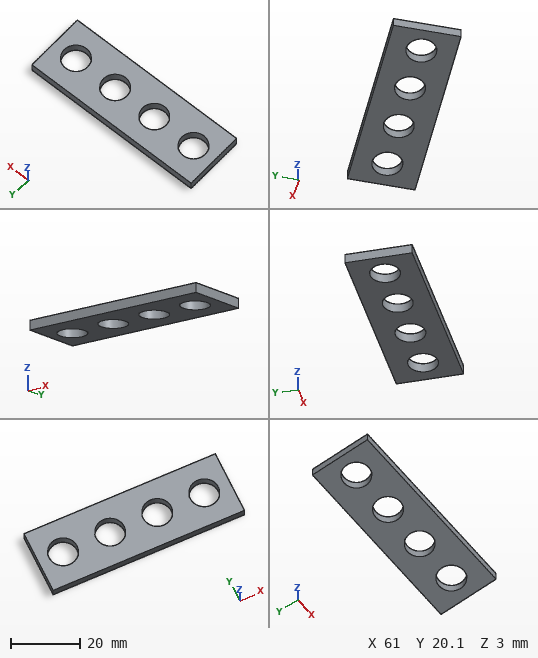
import cadquery as cq

length = 60.95
width = 20.05
thickness = 3.0

hole_diameter = 8.9
hole_count = 4
hole_pitch = 15.0
first_hole_x = 7.8

plate = cq.Workplane("XY").box(length, width, thickness)

hole_centres = [
    (-length / 2 + first_hole_x + i * hole_pitch, 0)
    for i in range(hole_count)
]

result = (
    plate.faces(">Z")
    .workplane()
    .pushPoints(hole_centres)
    .hole(hole_diameter)
)